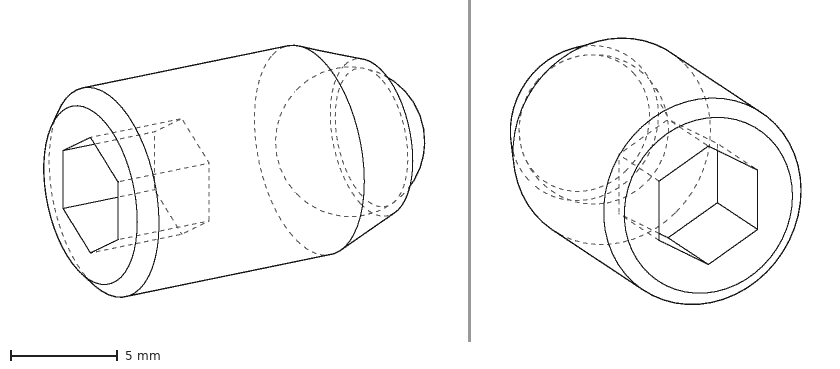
import cadquery as cq

total_length = 17.7
body_diameter = 10.0
straight_end = 11.97
nose_face = 15.36
nose_radius = 3.75
chamfer = 0.75
hex_sides = 6
hex_across_flats = 5.0
hex_depth = 5.0
ball_radius = 3.5

body_radius = body_diameter / 2
ball_center = total_length - ball_radius


def make_ball():
    """Full ball whose tip reaches the far end of the screw."""
    return cq.Workplane("XY").sphere(ball_radius).translate((0, ball_center, 0))


def make_screw_blank():
    """Revolved profile: chamfered cylinder with a conical nose."""
    return (
        cq.Workplane("XY")
        .moveTo(0, 0)
        .lineTo(body_radius - chamfer, 0)
        .lineTo(body_radius, chamfer)
        .lineTo(body_radius, straight_end)
        .lineTo(nose_radius, nose_face)
        .lineTo(0, nose_face)
        .close()
        .revolve(360, (0, 0, 0), (0, 1, 0))
    )


def make_hex_socket():
    """Hexagonal key socket with corners pointing up and down."""
    return (
        cq.Workplane("XZ")
        .polygon(hex_sides, hex_across_flats, circumscribed=True)
        .extrude(-hex_depth)
    )


ball = make_ball()
screw = make_screw_blank().cut(make_hex_socket()).cut(ball)

result = cq.Compound.makeCompound([screw.val(), ball.val()])